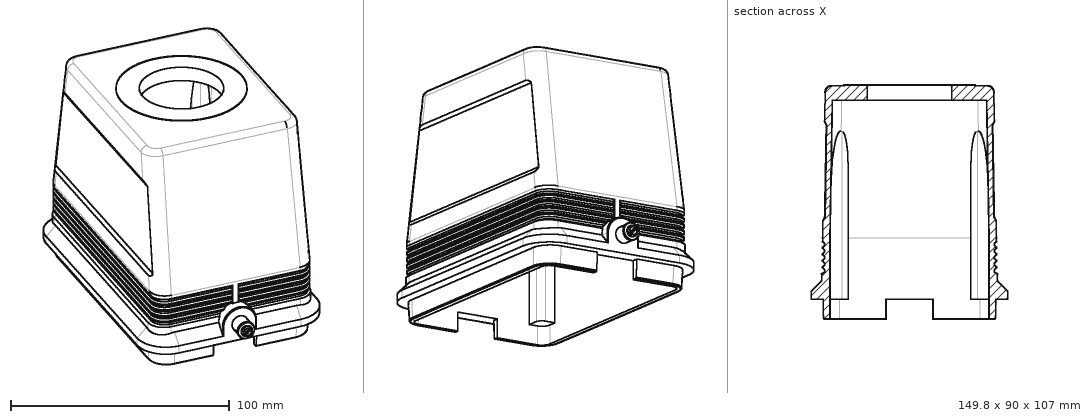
import cadquery as cq
import math

TOTAL_HEIGHT = 107.0
FLANGE_BOTTOM = 9.0
FLANGE_EDGE_TOP = 12.7
FLANGE_SLOPE_TOP = 17.7
NECK_TOP = 20.7
HOOD_BOTTOM = 35.4
HOOD_SLOPE_START = 37.2
GLAND_RING_HEIGHT = 0.3
ROOF = TOTAL_HEIGHT - GLAND_RING_HEIGHT

FLANGE = (132.0, 90.0, 14.5)
NECK = (122.4, 80.6, 8.0)
SKIRT_TOP = (122.0, 79.2, 9.0)
SKIRT_FOOT = (120.8, 78.8, 9.0)
HOOD_BASE = (122.4, 79.6, 7.6)
HOOD_ROOF = (97.6, 77.2, 7.6)
ROOF_FILLET = 3.0
SKIRT_CHAMFER = 0.5

RIDGE_COUNT = 4
RIDGE_PITCH = 3.0
RIDGE_DEPTH = 0.9
RIDGE_CREST = 0.5
RIDGE_RAMP = 0.8
FIRST_RIDGE = 23.6
END_RIB_WIDTH = 3.0

PANEL_BOTTOM = 46.8
PANEL_TOP = 88.6
PANEL_BOTTOM_Y = 38.6
PANEL_TOP_Y = 38.0
PANEL_BOTTOM_HALF = 54.8
PANEL_TOP_HALF = 47.6
PANEL_FLARE = 63.0
PANEL_CUT_DEPTH = 2.0

GLAND_RING_DIAMETER = 60.0
ENTRY_DIAMETER = 38.6
WALL = 3.5
ROOF_THICKNESS = 7.0
PILLAR_X = 49.0
PILLAR_Y = 28.0
PILLAR_RADIUS = 3.0

BOSS_RADIUS = 8.4
BOSS_INNER_X = 57.0
BOSS_CHAMFER = 0.4
PEG_HEIGHT = 17.6
PEG_RADIUS = 3.9
PEG_COLLAR_RADIUS = 4.1
PEG_COLLAR_X = 72.4
PEG_COLLAR_LENGTH = 1.0
PEG_TIP_RADIUS = 2.6
PEG_TIP_X = 74.9
PEG_TIP_CHAMFER = 0.7
SLOT_WIDTH = 0.8
SLOT_DEPTH = 0.6
SLOT_ANGLE = 45.0
SKIRT_GAP = 21.4

MARGIN = 5.0


def inset(plan, amount):
    """Shrink a rounded rectangle by the same amount on every side."""
    length, width, radius = plan
    return length - 2 * amount, width - 2 * amount, radius - amount


def blend(lower, upper, fraction):
    """Plan size part of the way from one rounded rectangle to another."""
    return tuple(a + (b - a) * fraction for a, b in zip(lower, upper))


def outline(plan):
    length, width, radius = plan
    return cq.Sketch().rect(length, width).vertices().fillet(radius)


def frustum(lower, upper, bottom, top):
    """Straight-walled solid between two rectangles, its corners rounded to the lower radius."""
    solid = cq.Workplane("XY").workplane(offset=bottom).rect(*lower[:2])
    solid = solid.workplane(offset=top - bottom).rect(*upper[:2]).loft(ruled=True)
    side_edges = solid.edges("not(<Z or >Z)")
    return side_edges.fillet(lower[2])


def slope_ring(lower, upper, bottom, top):
    """Sloping band between two rounded rectangles whose corners share their centres."""
    start = cq.Workplane("XY").workplane(offset=bottom)
    raised = outline(upper).moved(cq.Location((0, 0, top - bottom)))
    return start.placeSketch(outline(lower), raised).loft(ruled=True)


def prism(plan, bottom, top):
    return cq.Workplane("XY").workplane(offset=bottom).placeSketch(outline(plan)).extrude(top - bottom)


def block(x_range, y_range, z_range):
    low, high = zip(x_range, y_range, z_range)
    size = [b - a for a, b in zip(low, high)]
    return cq.Workplane("XY").box(*size, centered=False).translate(low)


def make_hood():
    hood = frustum(HOOD_BASE, HOOD_ROOF, HOOD_SLOPE_START, ROOF)
    hood = hood.faces(">Z").edges().fillet(ROOF_FILLET)
    return hood.union(prism(HOOD_BASE, HOOD_BOTTOM, HOOD_SLOPE_START))


def make_base():
    skirt = frustum(SKIRT_FOOT, SKIRT_TOP, 0, FLANGE_BOTTOM)
    skirt = skirt.faces("<Z").edges().chamfer(SKIRT_CHAMFER)
    flange = prism(FLANGE, FLANGE_BOTTOM, FLANGE_EDGE_TOP)
    slope_rise = FLANGE_SLOPE_TOP - FLANGE_EDGE_TOP
    slope = slope_ring(FLANGE, inset(FLANGE, slope_rise), FLANGE_EDGE_TOP, FLANGE_SLOPE_TOP)
    return skirt.union(flange).union(slope)


def make_ridged_band():
    core = inset(HOOD_BASE, RIDGE_DEPTH)
    band = prism(core, FLANGE_SLOPE_TOP, HOOD_BOTTOM)
    band = band.union(prism(NECK, FLANGE_EDGE_TOP, NECK_TOP))
    band = band.union(slope_ring(NECK, core, NECK_TOP, NECK_TOP + RIDGE_RAMP))
    band = band.union(slope_ring(core, HOOD_BASE, HOOD_BOTTOM - RIDGE_RAMP, HOOD_BOTTOM))
    for index in range(RIDGE_COUNT):
        crest_bottom = FIRST_RIDGE + index * RIDGE_PITCH - RIDGE_CREST / 2
        crest_top = crest_bottom + RIDGE_CREST
        band = band.union(slope_ring(core, HOOD_BASE, crest_bottom - RIDGE_RAMP, crest_bottom))
        band = band.union(prism(HOOD_BASE, crest_bottom, crest_top))
        band = band.union(slope_ring(HOOD_BASE, core, crest_top, crest_top + RIDGE_RAMP))
    half_rib = END_RIB_WIDTH / 2
    rib_x = HOOD_BASE[0] / 2
    rib = block((-rib_x, rib_x), (-half_rib, half_rib), (FLANGE_SLOPE_TOP, HOOD_BOTTOM))
    return band.union(rib)


def panel_cutter():
    """Material outside the recessed panel on the -Y side, flaring outwards on all four edges."""
    rise = PANEL_TOP - PANEL_BOTTOM
    lean = PANEL_BOTTOM_Y - PANEL_TOP_Y
    panel_plane = cq.Plane(origin=(0, -PANEL_BOTTOM_Y, PANEL_BOTTOM), xDir=(1, 0, 0), normal=(0, -rise, lean))
    face_height = math.hypot(rise, lean)
    trapezoid = [
        (-PANEL_BOTTOM_HALF, 0),
        (PANEL_BOTTOM_HALF, 0),
        (PANEL_TOP_HALF, face_height),
        (-PANEL_TOP_HALF, face_height),
    ]
    return cq.Workplane(panel_plane).polyline(trapezoid).close().extrude(PANEL_CUT_DEPTH, taper=-PANEL_FLARE)


def make_peg():
    """Boss, collared peg and slotted tip on the +X end."""
    flange_x = FLANGE[0] / 2
    boss_length = flange_x - BOSS_INNER_X
    boss = (
        cq.Workplane("YZ")
        .workplane(offset=BOSS_INNER_X)
        .moveTo(-BOSS_RADIUS, FLANGE_BOTTOM)
        .lineTo(-BOSS_RADIUS, PEG_HEIGHT)
        .threePointArc((0, PEG_HEIGHT + BOSS_RADIUS), (BOSS_RADIUS, PEG_HEIGHT))
        .lineTo(BOSS_RADIUS, FLANGE_BOTTOM)
        .close()
        .extrude(boss_length)
    )
    boss = boss.faces(">X").edges("not <Z").chamfer(BOSS_CHAMFER)
    collar_end = PEG_COLLAR_X + PEG_COLLAR_LENGTH
    half_profile = [
        (BOSS_INNER_X, 0),
        (BOSS_INNER_X, PEG_RADIUS),
        (PEG_COLLAR_X, PEG_RADIUS),
        (PEG_COLLAR_X, PEG_COLLAR_RADIUS),
        (collar_end, PEG_COLLAR_RADIUS),
        (collar_end, PEG_TIP_RADIUS),
        (PEG_TIP_X - PEG_TIP_CHAMFER, PEG_TIP_RADIUS),
        (PEG_TIP_X, PEG_TIP_RADIUS - PEG_TIP_CHAMFER),
        (PEG_TIP_X, 0),
    ]
    peg = cq.Workplane("XZ").polyline(half_profile).close().revolve(360, (0, 0, 0), (1, 0, 0))
    slot = cq.Workplane("XY").box(2 * SLOT_DEPTH, 4 * PEG_TIP_RADIUS, SLOT_WIDTH)
    slot = slot.rotate((0, 0, 0), (1, 0, 0), SLOT_ANGLE).translate((PEG_TIP_X, 0, 0))
    peg = peg.cut(slot).translate((0, 0, PEG_HEIGHT))
    return boss.union(peg)


def make_cavity():
    """Tapered hollow of even wall thickness, less an upright pillar in each corner."""
    ceiling = TOTAL_HEIGHT - ROOF_THICKNESS
    ceiling_fraction = (ceiling - HOOD_SLOPE_START) / (ROOF - HOOD_SLOPE_START)
    ceiling_plan = blend(HOOD_BASE, HOOD_ROOF, ceiling_fraction)
    mouth = inset(HOOD_BASE, WALL)
    cavity = prism(mouth, -MARGIN, HOOD_SLOPE_START)
    cavity = cavity.union(frustum(mouth, inset(ceiling_plan, WALL), HOOD_SLOPE_START, ceiling))
    pillar_size = (HOOD_BASE[0] / 2 - PILLAR_X, HOOD_BASE[1] / 2 - PILLAR_Y)
    pillar_height = ceiling - FLANGE_BOTTOM
    pillar = cq.Workplane("XY").box(*pillar_size, pillar_height, centered=False)
    pillar = pillar.edges("|Z and <X and <Y").fillet(PILLAR_RADIUS)
    pillar = pillar.translate((PILLAR_X, PILLAR_Y, FLANGE_BOTTOM))
    end_pair = pillar.union(pillar.mirror("XZ"))
    return cavity.cut(end_pair).cut(end_pair.mirror("YZ"))


def make_gland_ring():
    """Low raised ring on the roof around the cable entry, rooted inside the roof."""
    ring_root = TOTAL_HEIGHT - ROOF_THICKNESS / 2
    ring = cq.Workplane("XY").workplane(offset=ring_root).circle(GLAND_RING_DIAMETER / 2)
    return ring.extrude(TOTAL_HEIGHT - ring_root)


def make_skirt_gaps():
    """One channel along X that opens the skirt at both ends."""
    gap_half = SKIRT_GAP / 2
    return block((-FLANGE[0], FLANGE[0]), (-gap_half, gap_half), (-MARGIN, FLANGE_BOTTOM))


shell = make_base().union(make_ridged_band()).union(make_hood())

for panel_angle in (0, 180):
    shell = shell.cut(panel_cutter().rotate((0, 0, 0), (0, 0, 1), panel_angle))

shell = shell.union(make_gland_ring())

for peg_angle in (0, 180):
    shell = shell.union(make_peg().rotate((0, 0, 0), (0, 0, 1), peg_angle))

shell = shell.cut(make_cavity())
shell = shell.cut(cq.Workplane("XY").circle(ENTRY_DIAMETER / 2).extrude(TOTAL_HEIGHT))
result = shell.cut(make_skirt_gaps())